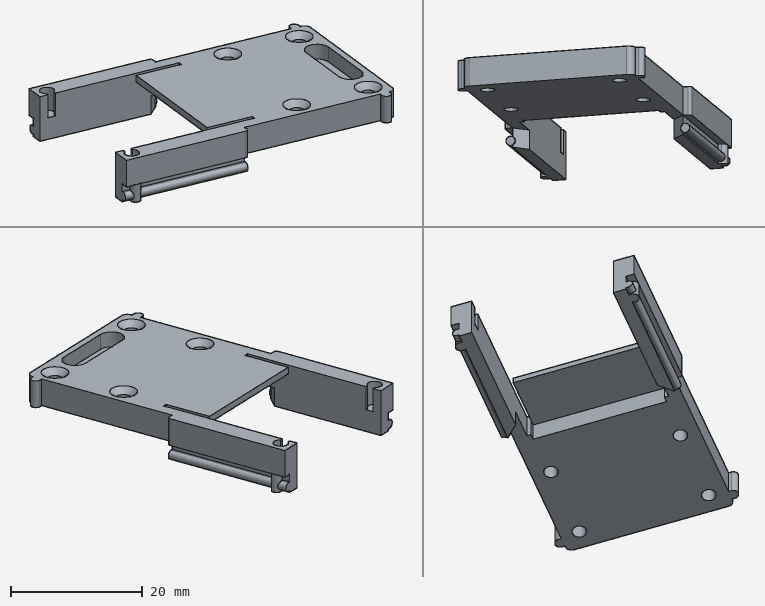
import cadquery as cq

WIDTH = 29.6
LENGTH = 48.0
HEIGHT = 7.5
HALF_WIDTH = WIDTH / 2

BODY_WIDTH = 27.05
BODY_THICKNESS = 4.45
BODY_CORNER_RADIUS = 1.05
BODY_UNDERSIDE = HEIGHT - BODY_THICKNESS
BODY_FRONT = 24.4

ARM_WIDTH = 3.35
ARM_REAR = 21.45
ARM_CORNER_RADIUS = 0.5
ARM_BEVEL = 2.0
ARM_INNER = HALF_WIDTH - ARM_WIDTH

TONGUE_THICKNESS = 1.1
TONGUE_FRONT = 16.45
SLIT_WIDTH = 0.65
TONGUE_WIDTH = 2 * (ARM_INNER - SLIT_WIDTH)
UNDERCUT_DEPTH = 0.95

HOLE_DIAMETER = 2.2
COUNTERSINK_DIAMETER = 4.2
COUNTERSINK_ANGLE = 90
HOLE_SPACING_X = 20.95
REAR_HOLE_Y = 44.9
FRONT_HOLE_Y = 32.35

POCKET_LENGTH = 13.9
POCKET_WIDTH = 3.95
POCKET_DEPTH = 2.5

PIN_DIAMETER = 1.6
REAR_PIN_Y = 46.05
ARM_PIN_Y = 2.05

RECESS_DEPTH = 1.3
RAIL_DIAMETER = 1.45
RAIL_INSET = 0.25
RAIL_CENTRE_Z = 1.03

SOCKET_DIAMETER = 2.3
SOCKET_CENTRE_X = 12.85
SOCKET_MOUTH_WIDTH = 1.3
SOCKET_DEPTH = 3.85


def box(x_min, x_max, y_min, y_max, z_min, z_max):
    """Axis-aligned block between the given limits."""
    return cq.Workplane("XY").box(
        x_max - x_min, y_max - y_min, z_max - z_min, centered=False
    ).translate((x_min, y_min, z_min))


def round_nosed_pin(root_x, centre_y, z_min, z_max):
    """Upright pin on the +X side whose round nose reaches the full part width."""
    radius = PIN_DIAMETER / 2
    nose_x = HALF_WIDTH - radius
    neck = box(root_x, nose_x, centre_y - radius, centre_y + radius, z_min, z_max)
    nose = cq.Workplane("XY", origin=(nose_x, centre_y, z_min)).circle(radius).extrude(z_max - z_min)
    return neck.union(nose)


def make_body():
    """Plate with rounded rear corners and the undercut tongue at its front."""
    half_body = BODY_WIDTH / 2
    half_tongue = TONGUE_WIDTH / 2
    plate = box(-half_body, half_body, BODY_FRONT, LENGTH, BODY_UNDERSIDE, HEIGHT)
    plate = plate.edges("|Z and >Y").fillet(BODY_CORNER_RADIUS)
    tongue_underside = HEIGHT - TONGUE_THICKNESS
    tongue = box(-half_tongue, half_tongue, TONGUE_FRONT, BODY_FRONT, tongue_underside, HEIGHT)
    undercut = box(
        -half_tongue, half_tongue, BODY_FRONT, BODY_FRONT + UNDERCUT_DEPTH, BODY_UNDERSIDE, tongue_underside
    )
    return plate.union(tongue).cut(undercut)


def make_rail():
    """Round-nosed rail along the recessed side of the +X arm."""
    radius = RAIL_DIAMETER / 2
    nose_x = HALF_WIDTH - RAIL_INSET - radius
    root_x = HALF_WIDTH - RECESS_DEPTH
    nose = (
        cq.Workplane("XZ", origin=(nose_x, 0, RAIL_CENTRE_Z))
        .circle(radius)
        .extrude(-ARM_REAR)
    )
    neck = box(root_x, nose_x, 0, ARM_REAR, RAIL_CENTRE_Z - radius, RAIL_CENTRE_Z + radius)
    return nose.union(neck)


def make_socket():
    """Keyhole-shaped cutter for the +X arm tip."""
    floor_z = HEIGHT - SOCKET_DEPTH
    half_mouth = SOCKET_MOUTH_WIDTH / 2
    bore = (
        cq.Workplane("XY", origin=(SOCKET_CENTRE_X, ARM_PIN_Y, floor_z))
        .circle(SOCKET_DIAMETER / 2)
        .extrude(SOCKET_DEPTH)
    )
    mouth = box(
        ARM_INNER, SOCKET_CENTRE_X, ARM_PIN_Y - half_mouth, ARM_PIN_Y + half_mouth, floor_z, HEIGHT
    )
    return bore.union(mouth)


def make_arm():
    """Complete +X arm with its root, rail, pin and socket."""
    upper = box(ARM_INNER, HALF_WIDTH, 0, ARM_REAR, BODY_UNDERSIDE, HEIGHT)
    upper = upper.edges("|Z and >X and >Y").fillet(ARM_CORNER_RADIUS)
    root = box(ARM_INNER, BODY_WIDTH / 2, ARM_REAR, BODY_FRONT, BODY_UNDERSIDE, HEIGHT)
    recess_wall = HALF_WIDTH - RECESS_DEPTH
    lower = box(ARM_INNER, recess_wall, 0, ARM_REAR, 0, BODY_UNDERSIDE)
    lower = lower.edges("|Z and <X and >Y").chamfer(ARM_BEVEL)
    arm_pin = round_nosed_pin(recess_wall, ARM_PIN_Y, 0, BODY_UNDERSIDE)
    return upper.union(root).union(lower).union(make_rail()).union(arm_pin).cut(make_socket())


rear_pin = round_nosed_pin(BODY_WIDTH / 2, REAR_PIN_Y, BODY_UNDERSIDE, HEIGHT)
side = make_arm().union(rear_pin)
cover = make_body().union(side).union(side.mirror("YZ"))

hole_centres = [
    (sign * HOLE_SPACING_X / 2, y) for sign in (-1, 1) for y in (REAR_HOLE_Y, FRONT_HOLE_Y)
]
top_plane = cq.Workplane("XY", origin=(0, 0, HEIGHT))
drilled_cover = (
    cover.copyWorkplane(top_plane)
    .pushPoints(hole_centres)
    .cskHole(HOLE_DIAMETER, COUNTERSINK_DIAMETER, COUNTERSINK_ANGLE)
)

pocket = (
    cq.Workplane("XY", origin=(0, REAR_HOLE_Y, HEIGHT))
    .slot2D(POCKET_LENGTH, POCKET_WIDTH)
    .extrude(-POCKET_DEPTH)
)
result = drilled_cover.cut(pocket)